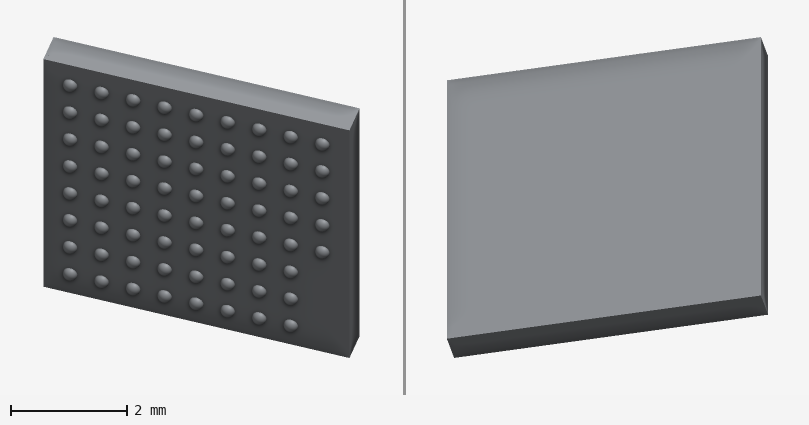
import cadquery as cq

width = 5.54
height = 5.57
overall_depth = 0.69

bump_radius = 0.13
column_count = 9
row_count = 8
grid_width = 4.57
grid_height = 4.62
column_pitch = grid_width / (column_count - 1)
row_pitch = grid_height / (row_count - 1)
short_column = column_count - 1
empty_rows = 3

film_thickness = 0.045
cap_thickness = 0.4
substrate_thickness = overall_depth - bump_radius - film_thickness - cap_thickness

film_front = substrate_thickness
cap_front = film_front + film_thickness


def make_layer(front, thickness):
    """Full-size rectangular plate whose front face lies at Y = front."""
    return cq.Workplane("XY").box(width, thickness, height).translate((0, front + thickness / 2, 0))


def bump_centers():
    """Bump positions (X, Z), skipping the empty corner of the grid."""
    left = -grid_width / 2
    bottom = -grid_height / 2
    return [
        (left + column * column_pitch, bottom + row * row_pitch)
        for column in range(column_count)
        for row in range(row_count)
        if column != short_column or row >= empty_rows
    ]


def make_substrate():
    """Front layer carrying the bumps as one solid."""
    substrate = make_layer(0, substrate_thickness)
    half_sphere = cq.Solid.makeSphere(
        bump_radius, cq.Vector(0, 0, 0), cq.Vector(0, -1, 0), angleDegrees1=0, angleDegrees2=90
    )
    bumps = [half_sphere.translate(cq.Vector(x, 0, z)) for x, z in bump_centers()]
    return cq.Workplane(substrate.val().fuse(*bumps).Solids()[0])


substrate = make_substrate()
film = make_layer(film_front, film_thickness)
cap = make_layer(cap_front, cap_thickness)

result = cq.Compound.makeCompound([substrate.val(), film.val(), cap.val()])